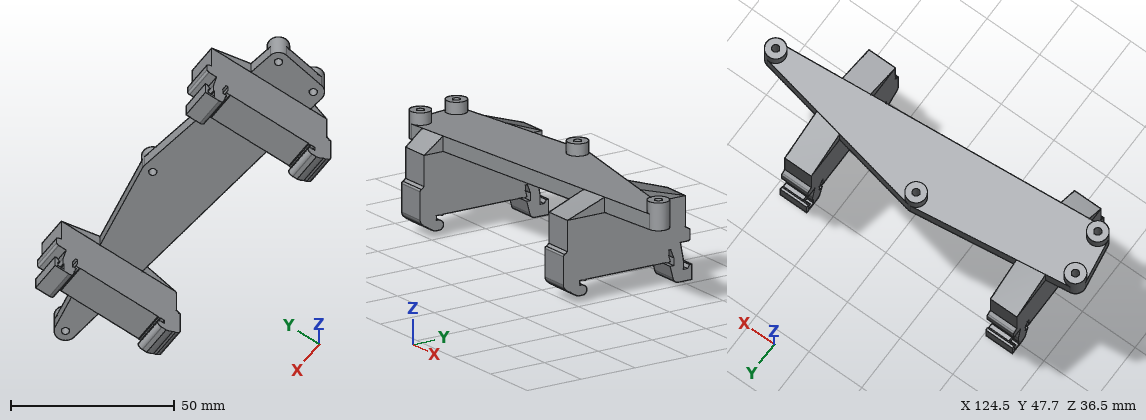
import cadquery as cq
import math


plate_bottom = 27.5
plate_thickness = 5.0
plate_top = plate_bottom + plate_thickness

standoff_radius = 7.0 / 2
screw_hole_radius = 2.5 / 2
standoff_rise = 4.0
standoff_height = plate_thickness + standoff_rise

front_left_x = 6.0
front_left_y = 10.7
front_left = (front_left_x, front_left_y)
right_end = (front_left_x + 115.0, front_left_y + 10.0)
rear_peak = (front_left_x + 52.5, front_left_y + 22.5)
rear_left = (front_left_x - 2.5, front_left_y + 15.0)
standoff_centres = [front_left, right_end, rear_peak, rear_left]

clip_width = 10.1
clip_pitch = 78.0
left_clip_x = 11.5
right_clip_x = left_clip_x + clip_pitch

body_front = 1.5
body_back = 45.3
body_underside = 7.2

shoulder_back = 47.0
shoulder_top = 17.4
shoulder_slope_end = 16.7
shoulder_side_top = 16.0
shoulder_round = 0.5
shoulder_underside = 12.7

rail_lip_z = 5.7
hook_bottom = 2.4
foot_back = 47.7
foot_top = 5.0
foot_notch_z = 3.9

pocket_front = 44.2
pocket_back = 46.5
pocket_floor = 1.1
pocket_depth = 2.5


def clip_outline():
    """Closed side outline of a rail clip in the YZ plane."""
    outline = cq.Workplane("YZ").moveTo(body_front, plate_bottom)

    outline = (
        outline.lineTo(body_front, shoulder_top)
        .lineTo(shoulder_round, shoulder_slope_end)
        .threePointArc((0.1, 16.4), (0, shoulder_side_top))
    )

    outline = (
        outline.lineTo(0, 6.8)
        .threePointArc((0.2, 6.0), (0.9, 5.2))
        .lineTo(1.9, 4.4)
        .lineTo(2.9, 4.0)
        .threePointArc((4.1, 3.0), (5.5, hook_bottom))
        .lineTo(7.1, hook_bottom)
        .threePointArc((8.7, 3.7), (7.8, 5.4))
        .lineTo(7.0, rail_lip_z)
        .lineTo(6.1, rail_lip_z)
        .lineTo(6.1, body_underside)
    )

    outline = (
        outline.lineTo(7.5, body_underside)
        .lineTo(7.8, 7.0)
        .lineTo(8.3, 7.0)
        .lineTo(8.6, body_underside)
        .lineTo(38.1, body_underside)
        .lineTo(38.5, 7.0)
        .lineTo(39.7, body_underside)
    )

    outline = (
        outline.lineTo(39.1, 9.2)
        .lineTo(39.1, 11.1)
        .lineTo(39.8, 11.1)
        .lineTo(41.0, 8.2)
        .lineTo(41.0, rail_lip_z)
    )

    outline = (
        outline.lineTo(39.6, rail_lip_z)
        .lineTo(40.7, 1.6)
        .threePointArc((41.3, 0.5), (42.5, 0))
        .lineTo(foot_back, 0)
        .lineTo(foot_back, foot_top)
        .lineTo(46.8, foot_top)
        .lineTo(46.0, foot_notch_z)
        .lineTo(44.6, foot_notch_z)
    )

    return (
        outline.lineTo(44.6, 7.0)
        .lineTo(43.5, shoulder_underside)
        .lineTo(46.3, shoulder_underside)
        .threePointArc((46.8, 13.0), (shoulder_back, 13.5))
        .lineTo(shoulder_back, shoulder_side_top)
        .threePointArc((46.9, 16.4), (shoulder_back - shoulder_round, shoulder_slope_end))
        .lineTo(body_back, shoulder_top)
        .lineTo(body_back, plate_bottom)
        .close()
    )


def make_clip(x):
    """Rail clip whose left side is at x."""
    clip = clip_outline().extrude(clip_width)
    pocket = (
        cq.Workplane("YZ")
        .moveTo(pocket_front, pocket_floor)
        .lineTo(pocket_back, pocket_floor)
        .lineTo(pocket_back, 2.7)
        .lineTo(45.8, foot_notch_z)
        .lineTo(pocket_front, foot_notch_z)
        .close()
        .extrude(pocket_depth)
    )
    return clip.cut(pocket).translate((x, 0, 0)).val()


def tangent_side(start, end):
    """End points of the plate side tangent to two neighbouring standoffs (counter-clockwise order)."""
    run = end[0] - start[0]
    rise = end[1] - start[1]
    length = math.hypot(run, rise)
    out_x = standoff_radius * rise / length
    out_y = -standoff_radius * run / length
    return [(x + out_x, y + out_y) for x, y in (start, end)]


def standoff_columns(radius):
    """Cylinders of one radius, as tall as the standoffs, on all the standoff centres."""
    return (
        cq.Workplane("XY", origin=(0, 0, plate_bottom))
        .pushPoints(standoff_centres)
        .circle(radius)
        .extrude(standoff_height)
    )


def plain_plate():
    """Plate with tangent sides between its four standoffs, each with a screw hole right through."""
    corners = []
    next_centres = standoff_centres[1:] + standoff_centres[:1]
    for start, end in zip(standoff_centres, next_centres):
        corners += tangent_side(start, end)
    web = (
        cq.Workplane("XY", origin=(0, 0, plate_bottom))
        .polyline(corners)
        .close()
        .extrude(plate_thickness)
    )
    return web.union(standoff_columns(standoff_radius)).cut(standoff_columns(screw_hole_radius))


def make_gusset(x, outer_y, start, end):
    """Ramp from a clip's top edge at outer_y up to the top edge of the plate side start-end."""
    (x0, y0), (x1, y1) = tangent_side(start, end)
    sections = []
    for section_x in (x, x + clip_width):
        plate_y = y0 + (y1 - y0) * (section_x - x0) / (x1 - x0)
        triangle = [
            cq.Vector(section_x, outer_y, plate_bottom),
            cq.Vector(section_x, plate_y, plate_bottom),
            cq.Vector(section_x, plate_y, plate_top),
        ]
        sections.append(cq.Wire.makePolygon(triangle, close=True))
    return cq.Solid.makeLoft(sections, True)


def make_plate():
    """Plate in one piece with the gusset on its rear side above the left clip."""
    rear_left_gusset = make_gusset(left_clip_x, body_back, rear_peak, rear_left)
    return plain_plate().union(cq.Workplane(rear_left_gusset)).val()


plate = make_plate()
clips = [make_clip(x) for x in (left_clip_x, right_clip_x)]

gusset_places = [
    (left_clip_x, body_front, front_left, right_end),
    (right_clip_x, body_front, front_left, right_end),
    (right_clip_x, body_back, right_end, rear_peak),
]
gussets = [make_gusset(*place) for place in gusset_places]

result = cq.Compound.makeCompound([plate, *clips, *gussets])